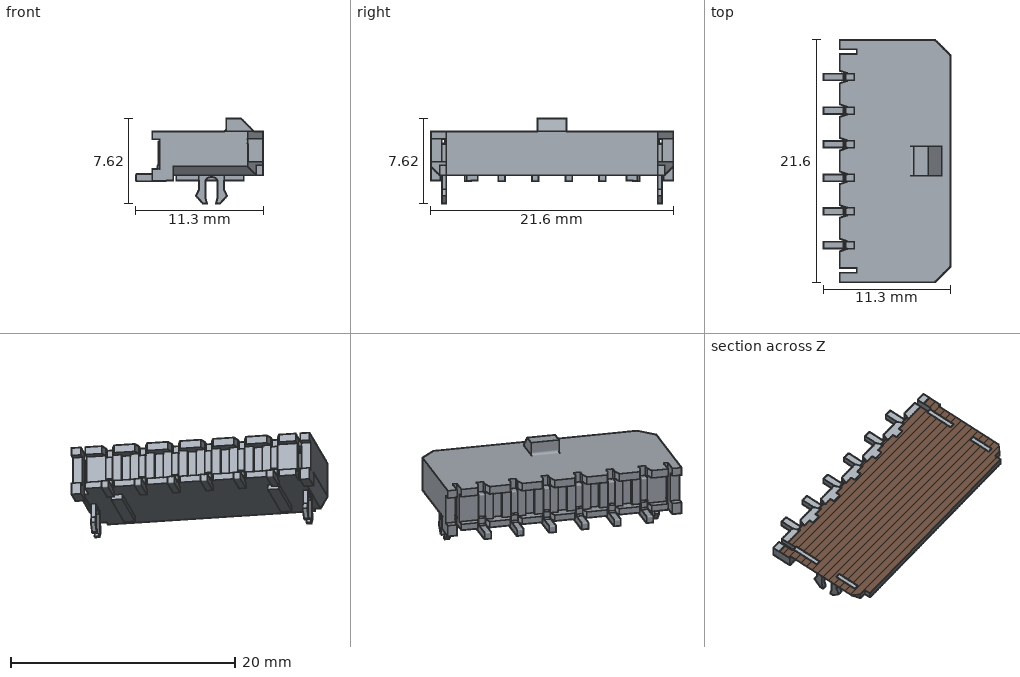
import cadquery as cq
import math


BODY_LENGTH = 9.91
BODY_WIDTH = 21.65
BODY_HEIGHT = 3.92
OVERALL_HEIGHT = 7.62
HALF_WIDTH = BODY_WIDTH / 2
CORNER_CHAMFER = 1.39
EDGE_CHAMFER = 0.8
CORNER_START_X = BODY_LENGTH - CORNER_CHAMFER

RECESS_DEPTH = 0.67
RECESS_BOTTOM_Z = 0.58
RECESS_TOP_Z = 3.21

STANDOFF_HEIGHT = 0.46
FOOT_LENGTH = 1.91
FOOT_WIDTH = 0.86
RAIL_START_X = 2.15
RAIL_END_X = 8.2
RAIL_WIDTH = 1.0
RAIL_INSET = 3.2

LEAD_COUNT = 6
PITCH = 3.0
LEAD_WIDTH = 0.62
LEAD_TIP_X = -1.44
LEAD_BACK_X = 1.33
LEAD_BOTTOM_Z = -0.53
LEAD_TAIL_TOP_Z = 0.13
LEAD_TOP_Z = 3.03
LEAD_UPPER_X = 0.53
LEAD_LOWER_X = 0.46
LEAD_STEP_TOP_Z = 0.95
LEAD_STEP_BOTTOM_Z = 0.8
LEAD_BEND_BEVEL = 0.14
LEAD_EDGE_RADIUS = 0.11
LEAD_HEEL_RADIUS = 0.18
NOTCH_DEPTH = RECESS_DEPTH
NOTCH_MOUTH_WIDTH = 1.12
NOTCH_THROAT_WIDTH = 0.66
GROOVE_WIDTH = 0.84
GROOVE_DEPTH = 0.4

LATCH_BACK_X = 6.61
LATCH_CREST_X = 7.93
LATCH_HEIGHT = 1.17
LATCH_FRONT_X = LATCH_CREST_X + LATCH_HEIGHT
LATCH_WIDTH = 2.6
LATCH_FILLET = 0.25

CLIP_INSET = 0.99
CLIP_THICKNESS = 0.4
CLIP_CENTER_X = 5.3
CLIP_BOTTOM_Z = 0.6
CLIP_TOP_Z = 2.88
CLIP_CHAMFER = 0.12
CLIP_PLATE_START_X = 2.0
LEG_HALF_SPAN = 1.12
BARB_HALF_SPAN = 1.39
BARB_START_Z = -1.25
BARB_TIP_Z = -1.83
LEG_BOTTOM_Z = BODY_HEIGHT + LATCH_HEIGHT - OVERALL_HEIGHT
TOE_OUTER_HALF_SPAN = 0.76
TOE_INNER_HALF_SPAN = 0.39
TOE_START_Z = -2.0
SLIT_HALF_WIDTH = 0.53
SLIT_TOP_Z = -0.14
SLIT_ARC_DIAMETER = 1.3
SLIT_ARC_RADIUS = SLIT_ARC_DIAMETER / 2
SLIT_ARC_RISE = SLIT_ARC_RADIUS - math.sqrt(SLIT_ARC_RADIUS**2 - SLIT_HALF_WIDTH**2)
SLIT_SHOULDER_Z = SLIT_TOP_Z - SLIT_ARC_RISE

SLOT_DEPTH = 1.52
SLOT_WIDTH = 0.4

WINDOW_BOTTOM_Z = 1.235
WINDOW_TOP_Z = 3.27
CORNER_NOTCH_LENGTH = 0.61
CORNER_NOTCH_HEIGHT = 0.91

SIDES = (1, -1)
LEAD_YS = [(i - (LEAD_COUNT - 1) / 2) * PITCH for i in range(LEAD_COUNT)]


def block(x0, x1, y0, y1, z0, z1):
    """Box between two opposite corners."""
    return cq.Workplane("XY").box(x1 - x0, y1 - y0, z1 - z0, centered=False).translate((x0, y0, z0))


def side_block(side, x0, x1, inset0, inset1, z0, z1):
    """Box whose Y extent is given as insets from the +Y or -Y end of the housing."""
    y_near, y_far = sorted((side * (HALF_WIDTH - inset0), side * (HALF_WIDTH - inset1)))
    return block(x0, x1, y_near, y_far, z0, z1)


def extrude_along_y(outline, y_middle, width):
    """Extrude an outline drawn in the XZ plane, centred on y_middle."""
    return outline.extrude(width / 2, both=True).translate((0, y_middle, 0))


def make_shell():
    shell = block(0, BODY_LENGTH, -HALF_WIDTH, HALF_WIDTH, 0, BODY_HEIGHT)
    shell = shell.edges("|Z and >X").chamfer(CORNER_CHAMFER)
    for side in SIDES:
        edge_wedge = (
            cq.Workplane("YZ")
            .polyline([
                (side * HALF_WIDTH, 0),
                (side * (HALF_WIDTH - EDGE_CHAMFER), 0),
                (side * HALF_WIDTH, EDGE_CHAMFER),
            ])
            .close()
            .extrude(BODY_LENGTH)
            .translate((FOOT_LENGTH, 0, 0))
        )
        shell = shell.cut(edge_wedge)
        shell = shell.union(side_block(
            side, 0, FOOT_LENGTH, 0, FOOT_WIDTH, -STANDOFF_HEIGHT, RECESS_BOTTOM_Z
        ))
        shell = shell.union(side_block(
            side, RAIL_START_X, RAIL_END_X, RAIL_INSET, RAIL_INSET + RAIL_WIDTH, -STANDOFF_HEIGHT, 0
        ))
    rear_recess = block(0, RECESS_DEPTH, -HALF_WIDTH, HALF_WIDTH, RECESS_BOTTOM_Z, RECESS_TOP_Z)
    return shell.cut(rear_recess)


def cut_lead_notches(body):
    for y in LEAD_YS:
        mouth = (
            cq.Workplane("XY")
            .polyline([
                (0, y - NOTCH_MOUTH_WIDTH / 2),
                (NOTCH_DEPTH, y - NOTCH_THROAT_WIDTH / 2),
                (NOTCH_DEPTH, y + NOTCH_THROAT_WIDTH / 2),
                (0, y + NOTCH_MOUTH_WIDTH / 2),
            ])
            .close()
            .extrude(BODY_HEIGHT)
        )
        pocket = block(0, LEAD_BACK_X, y - LEAD_WIDTH / 2, y + LEAD_WIDTH / 2, 0, BODY_HEIGHT)
        body = body.cut(mouth).cut(pocket)
    return body


def cut_rear_grooves(body):
    """One groove in the recess floor midway between each pair of neighbouring leads."""
    for y in LEAD_YS[:-1]:
        middle = y + PITCH / 2
        body = body.cut(block(
            RECESS_DEPTH, RECESS_DEPTH + GROOVE_DEPTH,
            middle - GROOVE_WIDTH / 2, middle + GROOVE_WIDTH / 2,
            RECESS_BOTTOM_Z, RECESS_TOP_Z,
        ))
    return body


def cut_end_features(body):
    """Rear slot, clip channel and corner cut-outs at both ends."""
    clip_far_inset = CLIP_INSET + CLIP_THICKNESS
    for side in SIDES:
        body = body.cut(side_block(
            side, 0, SLOT_DEPTH, FOOT_WIDTH, FOOT_WIDTH + SLOT_WIDTH, -STANDOFF_HEIGHT, BODY_HEIGHT
        ))
        body = body.cut(side_block(
            side, SLOT_DEPTH, CORNER_START_X, CLIP_INSET, clip_far_inset, RECESS_BOTTOM_Z, RECESS_TOP_Z
        ))
        body = body.cut(side_block(
            side, CORNER_START_X, BODY_LENGTH, 0, CORNER_CHAMFER, WINDOW_BOTTOM_Z, WINDOW_TOP_Z
        ))
        body = body.cut(side_block(
            side, BODY_LENGTH - CORNER_NOTCH_LENGTH, BODY_LENGTH, 0, CORNER_CHAMFER, 0, CORNER_NOTCH_HEIGHT
        ))
    return body


def make_latch():
    outline = (
        cq.Workplane("XZ")
        .moveTo(LATCH_BACK_X - LATCH_FILLET, BODY_HEIGHT)
        .radiusArc((LATCH_BACK_X, BODY_HEIGHT + LATCH_FILLET), -LATCH_FILLET)
        .lineTo(LATCH_BACK_X, BODY_HEIGHT + LATCH_HEIGHT)
        .lineTo(LATCH_CREST_X, BODY_HEIGHT + LATCH_HEIGHT)
        .lineTo(LATCH_FRONT_X, BODY_HEIGHT)
        .close()
    )
    return extrude_along_y(outline, 0, LATCH_WIDTH)


def make_lead(y):
    outline = (
        cq.Workplane("XZ")
        .moveTo(LEAD_TIP_X, LEAD_BOTTOM_Z + LEAD_EDGE_RADIUS)
        .lineTo(LEAD_TIP_X, LEAD_TAIL_TOP_Z - LEAD_EDGE_RADIUS)
        .radiusArc((LEAD_TIP_X + LEAD_EDGE_RADIUS, LEAD_TAIL_TOP_Z), LEAD_EDGE_RADIUS)
        .lineTo(LEAD_LOWER_X - LEAD_BEND_BEVEL, LEAD_TAIL_TOP_Z)
        .lineTo(LEAD_LOWER_X, LEAD_TAIL_TOP_Z + LEAD_BEND_BEVEL)
        .lineTo(LEAD_LOWER_X, LEAD_STEP_BOTTOM_Z)
        .lineTo(LEAD_UPPER_X, LEAD_STEP_TOP_Z)
        .lineTo(LEAD_UPPER_X, LEAD_TOP_Z - LEAD_EDGE_RADIUS)
        .radiusArc((LEAD_UPPER_X + LEAD_EDGE_RADIUS, LEAD_TOP_Z), LEAD_EDGE_RADIUS)
        .lineTo(LEAD_BACK_X - LEAD_EDGE_RADIUS, LEAD_TOP_Z)
        .radiusArc((LEAD_BACK_X, LEAD_TOP_Z - LEAD_EDGE_RADIUS), LEAD_EDGE_RADIUS)
        .lineTo(LEAD_BACK_X, LEAD_BOTTOM_Z + LEAD_HEEL_RADIUS)
        .radiusArc((LEAD_BACK_X - LEAD_HEEL_RADIUS, LEAD_BOTTOM_Z), LEAD_HEEL_RADIUS)
        .lineTo(LEAD_TIP_X + LEAD_EDGE_RADIUS, LEAD_BOTTOM_Z)
        .radiusArc((LEAD_TIP_X, LEAD_BOTTOM_Z + LEAD_EDGE_RADIUS), LEAD_EDGE_RADIUS)
        .close()
    )
    return extrude_along_y(outline, y, LEAD_WIDTH)


def make_clip(side):
    y = side * (HALF_WIDTH - CLIP_INSET - CLIP_THICKNESS / 2)
    plate = block(
        CLIP_PLATE_START_X, 2 * CLIP_CENTER_X - CLIP_PLATE_START_X,
        y - CLIP_THICKNESS / 2, y + CLIP_THICKNESS / 2,
        CLIP_BOTTOM_Z, CLIP_TOP_Z,
    )
    plate = plate.edges("|Y").chamfer(CLIP_CHAMFER)
    legs = (
        cq.Workplane("XZ")
        .moveTo(-LEG_HALF_SPAN, CLIP_BOTTOM_Z + CLIP_CHAMFER)
        .lineTo(-LEG_HALF_SPAN, BARB_START_Z)
        .lineTo(-BARB_HALF_SPAN, BARB_TIP_Z)
        .lineTo(-TOE_OUTER_HALF_SPAN, LEG_BOTTOM_Z)
        .lineTo(-TOE_INNER_HALF_SPAN, LEG_BOTTOM_Z)
        .lineTo(-SLIT_HALF_WIDTH, TOE_START_Z)
        .lineTo(-SLIT_HALF_WIDTH, SLIT_SHOULDER_Z)
        .threePointArc((0, SLIT_TOP_Z), (SLIT_HALF_WIDTH, SLIT_SHOULDER_Z))
        .lineTo(SLIT_HALF_WIDTH, TOE_START_Z)
        .lineTo(TOE_INNER_HALF_SPAN, LEG_BOTTOM_Z)
        .lineTo(TOE_OUTER_HALF_SPAN, LEG_BOTTOM_Z)
        .lineTo(BARB_HALF_SPAN, BARB_TIP_Z)
        .lineTo(LEG_HALF_SPAN, BARB_START_Z)
        .lineTo(LEG_HALF_SPAN, CLIP_BOTTOM_Z + CLIP_CHAMFER)
        .close()
    )
    return plate.union(extrude_along_y(legs, y, CLIP_THICKNESS).translate((CLIP_CENTER_X, 0, 0)))


result = make_shell()
result = cut_lead_notches(result)
result = cut_rear_grooves(result)
result = cut_end_features(result)
result = result.union(make_latch())
for lead_y in LEAD_YS:
    result = result.union(make_lead(lead_y))
for end in SIDES:
    result = result.union(make_clip(end))